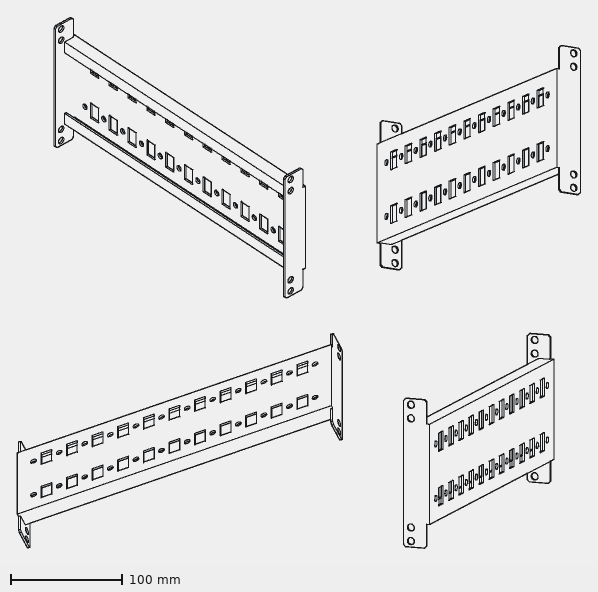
import cadquery as cq

length = 307.0
depth = 25.0
plate_height = 136.0
sheet = 2.0

channel_height = 92.0
channel_depth = 14.0
lip_height = 12.0

ear_setback = 3.0
corner_chamfer = 2.0
mount_hole_diameter = 6.5
mount_hole_y = 7.0
mount_hole_heights = (50.0, 62.5)
bend_radius = 1.0

pitch = 25.0
row_offset = 25.0
window_count = 11
window_width = 10.5
window_height = 16.5
round_hole_count = window_count + 1
round_hole_diameter = 5.4

inner_length = length - 2 * sheet
web_front_y = depth - sheet
lip_front_y = depth - channel_depth


def box(x_range, y_range, z_range):
    """Box spanning the given (low, high) ranges."""
    spans = (x_range, y_range, z_range)
    sizes = [high - low for low, high in spans]
    corner = tuple(low for low, high in spans)
    return cq.Workplane("XY").box(*sizes, centered=False).translate(corner)


def make_channel():
    """C-shaped channel along X, open toward -Y between its lips."""
    half_x = inner_length / 2
    half_z = channel_height / 2
    lip_edge_z = half_z - lip_height
    body = box((-half_x, half_x), (lip_front_y, depth), (-half_z, half_z))
    cavity = box((-half_x, half_x), (lip_front_y + sheet, web_front_y), (sheet - half_z, half_z - sheet))
    mouth = box((-half_x, half_x), (lip_front_y, web_front_y), (-lip_edge_z, lip_edge_z))
    return body.cut(cavity).cut(mouth)


def make_end_plate(side):
    """End plate at -X (side = -1) or +X (side = 1); only its channel-high tab reaches the web back."""
    outer_x = side * length / 2
    x_range = sorted((outer_x, outer_x - side * sheet))
    half_z = plate_height / 2
    plate = box(x_range, (0, depth - ear_setback), (-half_z, half_z))
    plate = plate.edges("|X").chamfer(corner_chamfer)
    tab = box(x_range, (lip_front_y, depth), (-channel_height / 2, channel_height / 2))
    mount_holes = (
        cq.Workplane("YZ")
        .pushPoints([(mount_hole_y, sign * z) for z in mount_hole_heights for sign in (-1, 1)])
        .circle(mount_hole_diameter / 2)
        .extrude(length, both=True)
    )
    return plate.union(tab).cut(mount_holes)


def make_bend_fillet(side):
    """Concave fillet strip filling the corner between the web and an end plate."""
    corner_x = side * inner_length / 2
    inner_x = corner_x - side * bend_radius
    half_z = channel_height / 2
    strip = box(
        sorted((corner_x, inner_x)),
        (web_front_y - bend_radius, web_front_y),
        (-half_z, half_z),
    )
    round_cutter = (
        cq.Workplane("XY")
        .center(inner_x, web_front_y - bend_radius)
        .circle(bend_radius)
        .extrude(half_z, both=True)
    )
    return strip.cut(round_cutter)


def row_points(count):
    """Centres of evenly spaced openings in both web rows."""
    first_x = -pitch * (count - 1) / 2
    return [(first_x + i * pitch, sign * row_offset) for i in range(count) for sign in (-1, 1)]


def make_web_openings():
    """Windows and round holes, long enough to pass through the web only."""
    base = cq.Workplane("XZ", origin=(0, depth, 0))
    windows = base.pushPoints(row_points(window_count)).rect(window_width, window_height).extrude(sheet)
    hole_base = base.pushPoints(row_points(round_hole_count))
    round_holes = hole_base.circle(round_hole_diameter / 2).extrude(sheet)
    return windows.union(round_holes)


result = make_channel()
for side in (-1, 1):
    result = result.union(make_end_plate(side)).union(make_bend_fillet(side))
result = result.cut(make_web_openings())